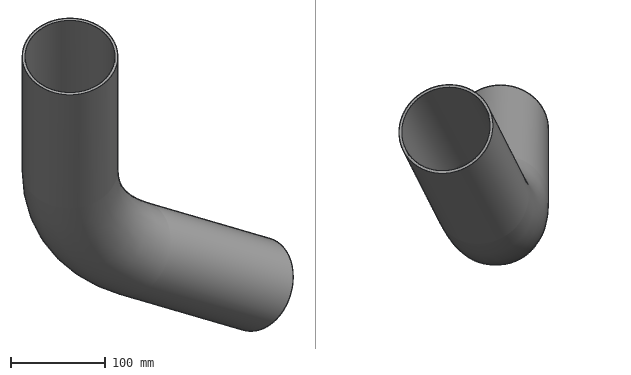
import cadquery as cq
import math

overall_height = 562.5
outer_diameter = 102.0
inner_diameter = 95.5
bend_radius = 256.5
bend_angle = 45.0

sin_bend = math.sin(math.radians(bend_angle))
cos_bend = math.cos(math.radians(bend_angle))
bend_drop = bend_radius * sin_bend
end_face_drop = outer_diameter / 2 * sin_bend
leg_length = (overall_height - bend_drop - end_face_drop) / (1 + cos_bend)


def bend_point(angle):
    """Centreline point (Y, Z) after turning by the given angle in degrees."""
    turn = math.radians(angle)
    return (
        bend_radius * (1 - math.cos(turn)),
        -leg_length - bend_radius * math.sin(turn),
    )


bend_end_y, bend_end_z = bend_point(bend_angle)
centreline = (
    cq.Workplane("YZ")
    .lineTo(0, -leg_length)
    .threePointArc(bend_point(bend_angle / 2), (bend_end_y, bend_end_z))
    .lineTo(bend_end_y + leg_length * sin_bend, bend_end_z - leg_length * cos_bend)
)

result = (
    cq.Workplane("XY")
    .circle(outer_diameter / 2)
    .circle(inner_diameter / 2)
    .sweep(centreline)
)